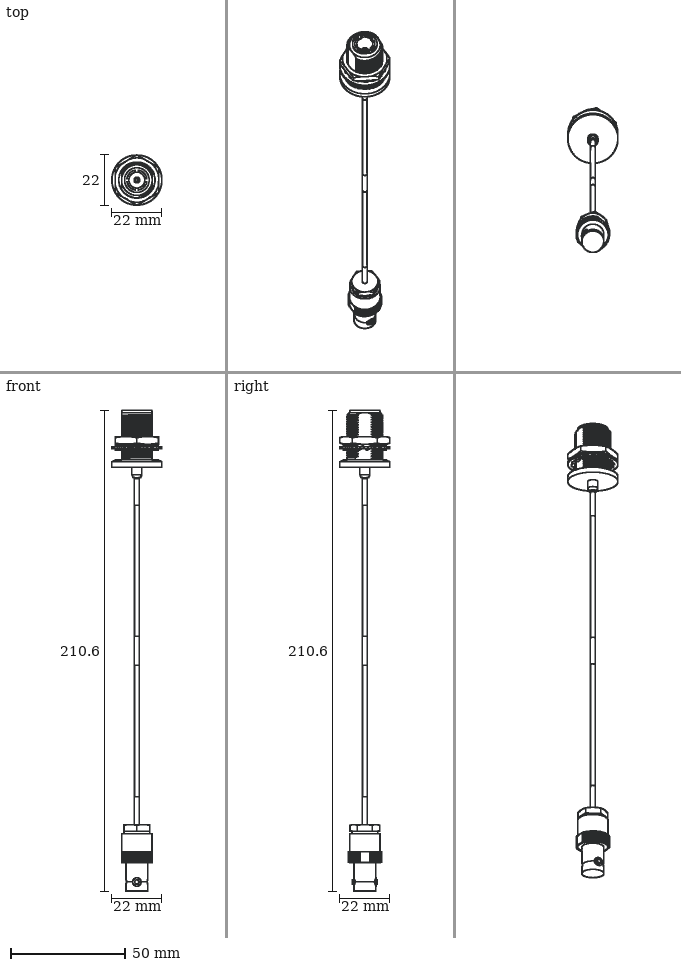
import cadquery as cq
import math


BARREL_RADIUS = 4.85
BARREL_LENGTH = 12.4
GROOVE_CENTER = 4.1
GROOVE_HALF_WIDTH = 1.25
GROOVE_DEPTH = 0.3
LUG_RADIUS = 0.95
LUG_TIP_RADIUS = 5.45
LUG_CENTER = 4.0
LUG_PAD_RADIUS = 1.85
LUG_PAD_TIP_RADIUS = BARREL_RADIUS + 0.05
SHELL_RADIUS = 6.7
SHELL_LENGTH = 12.8
KNURL_BOTTOM = BARREL_LENGTH + 0.3
KNURL_TOP = 17.2
KNURL_RADIUS = 7.35
KNURL_DEPTH = 0.4
KNURL_TEETH = 72
NECK_RADIUS = 5.7
NECK_LENGTH = 1.1
HEX_WIDTH = 11.4
HEX_HEIGHT = 2.8
HEX_CHAMFER = 0.35
SHELL_TOP = BARREL_LENGTH + SHELL_LENGTH
HEX_BOTTOM = SHELL_TOP + NECK_LENGTH
HEX_TOP = HEX_BOTTOM + HEX_HEIGHT

TOTAL_LENGTH = 210.57
FLANGE_RADIUS = 11.0
FLANGE_BOTTOM = 185.5
FLANGE_RIM_HEIGHT = 2.4
FLANGE_CROWN_RADIUS = 9.1
FLANGE_CROWN_HEIGHT = 0.9
SEAL_GROOVE_RADIUS = 8.4
SEAL_GROOVE_DEPTH = 0.6
THREAD_RADIUS = 7.9
THREAD_PITCH = 25.4 / 24
THREAD_DEPTH = 0.6
THREAD_GROOVE_WIDTH = 0.9 * THREAD_PITCH
THREAD_GROOVE_OVERCUT = 0.5
LIP_RADIUS = 6.7
LIP_LENGTH = 1.1
LIP_FILLET = 0.7
THREAD_FLAT_WIDTH = 2 * LIP_RADIUS
GAP_OUTER_RADIUS = 5.4
GAP_INNER_RADIUS = 4.4
GAP_DEPTH = 0.6
BORE_RADIUS = 3.5
BORE_DEPTH = 9.0
FINGER_SLOT_WIDTH = 1.3
CONTACT_RADIUS = 1.25
CONTACT_HOLE_RADIUS = 0.6
CONTACT_HOLE_DEPTH = 3.0
CONTACT_RECESS = 5.0
CONTACT_SEAT = 3.0
FLANGE_TOP = FLANGE_BOTTOM + FLANGE_RIM_HEIGHT + FLANGE_CROWN_HEIGHT
THREAD_TOP = TOTAL_LENGTH - LIP_LENGTH
BORE_FLOOR = TOTAL_LENGTH - BORE_DEPTH

NUT_WIDTH = 19.05
NUT_BOTTOM = 195.7
NUT_HEIGHT = 3.2
NUT_CHAMFER_HEIGHT = 0.45
NUT_CHAMFER_DEPTH = 1.3
WASHER_BOTTOM = 193.55
WASHER_THICKNESS = 0.85
WASHER_RING_INNER_RADIUS = 9.0
WASHER_TEETH = 16
TOOTH_WIDTH = 2.4
TOOTH_TWIST = 28

CABLE_RADIUS = 1.05
SLEEVE_RADIUS = 1.15
SLEEVE_SPANS = [(HEX_TOP, 41.3), (98.8, 111.5), (169.0, 180.4)]
FERRULE_RADIUS = 2.25
FERRULE_TIP_RADIUS = 1.65
FERRULE_TIP = 181.0
FERRULE_CONE_LENGTH = 1.3


def turned(points):
    """Solid turned about Z from (radius, z) points."""
    profile = [(-radius, z) for radius, z in points]
    return cq.Workplane("YZ").polyline(profile).close().revolve(360, (0, 0), (0, 1))


def cylinder(radius, bottom, top):
    return turned([(0, bottom), (radius, bottom), (radius, top), (0, top)])


def ring(outer, inner, bottom, top):
    return turned([(inner, bottom), (outer, bottom), (outer, top), (inner, top)])


def hexagon(width, bottom, top):
    """Hexagonal prism with flats on +X and -X."""
    corner_diameter = width / math.cos(math.pi / 6)
    prism = cq.Workplane("XY").workplane(offset=bottom).polygon(6, corner_diameter).extrude(top - bottom)
    return prism.rotate((0, 0, 0), (0, 0, 1), 30)


def flats(width, bottom, top):
    """Slab that leaves flats on the X sides of what it intersects."""
    length = 4 * FLANGE_RADIUS
    return cq.Workplane("XY").workplane(offset=bottom).rect(width, length).extrude(top - bottom)


def knurled_band():
    tooth_step = 360 / KNURL_TEETH
    root_radius = KNURL_RADIUS - KNURL_DEPTH
    points = []
    for tooth in range(KNURL_TEETH):
        crest_angle = math.radians(tooth * tooth_step)
        root_angle = math.radians((tooth + 0.5) * tooth_step)
        points.append((KNURL_RADIUS * math.cos(crest_angle), KNURL_RADIUS * math.sin(crest_angle)))
        points.append((root_radius * math.cos(root_angle), root_radius * math.sin(root_angle)))
    band = cq.Workplane("XY").workplane(offset=KNURL_BOTTOM).polyline(points).close()
    band = band.extrude(KNURL_TOP - KNURL_BOTTOM)
    return band.intersect(flats(2 * SHELL_RADIUS, KNURL_BOTTOM, KNURL_TOP))


def lug_post(radius, tip_radius):
    """Round post across the barrel, pointing to both +Y and -Y."""
    return cq.Workplane("XZ").center(0, LUG_CENTER).circle(radius).extrude(tip_radius, both=True)


def bayonet_jack():
    body = turned([
        (0, 0),
        (BARREL_RADIUS, 0),
        (BARREL_RADIUS, GROOVE_CENTER - GROOVE_HALF_WIDTH),
        (BARREL_RADIUS - GROOVE_DEPTH, GROOVE_CENTER),
        (BARREL_RADIUS, GROOVE_CENTER + GROOVE_HALF_WIDTH),
        (BARREL_RADIUS, BARREL_LENGTH),
        (SHELL_RADIUS, BARREL_LENGTH),
        (SHELL_RADIUS, SHELL_TOP),
        (NECK_RADIUS, SHELL_TOP),
        (NECK_RADIUS, HEX_BOTTOM),
        (0, HEX_BOTTOM),
    ])
    body = body.rotate((0, 0, 0), (0, 0, 1), 90)
    corner_radius = HEX_WIDTH / 2 / math.cos(math.pi / 6)
    hex_blank = turned([
        (0, HEX_BOTTOM),
        (corner_radius, HEX_BOTTOM),
        (corner_radius, HEX_TOP - HEX_CHAMFER),
        (HEX_WIDTH / 2, HEX_TOP),
        (0, HEX_TOP),
    ])
    hex_grip = hexagon(HEX_WIDTH, HEX_BOTTOM, HEX_TOP).intersect(hex_blank)
    lug_pads = lug_post(LUG_PAD_RADIUS, LUG_PAD_TIP_RADIUS)
    lugs = lug_post(LUG_RADIUS, LUG_TIP_RADIUS)
    return body.union(knurled_band()).union(hex_grip).union(lug_pads).union(lugs)


def thread_groove():
    """Helical V groove from the flange to above the thread top."""
    start = FLANGE_TOP + THREAD_PITCH / 2
    height = THREAD_TOP + THREAD_PITCH - start
    path = cq.Wire.makeHelix(THREAD_PITCH, height, THREAD_RADIUS).translate(cq.Vector(0, 0, start))
    half_width = THREAD_GROOVE_WIDTH / 2
    section = cq.Workplane("XZ").polyline([
        (THREAD_RADIUS - THREAD_DEPTH, start),
        (THREAD_RADIUS, start - half_width),
        (THREAD_RADIUS + THREAD_GROOVE_OVERCUT, start - half_width),
        (THREAD_RADIUS + THREAD_GROOVE_OVERCUT, start + half_width),
        (THREAD_RADIUS, start + half_width),
    ]).close()
    return section.sweep(cq.Workplane(path), isFrenet=True)


def bulkhead_jack():
    outer = turned([
        (0, FLANGE_BOTTOM),
        (FLANGE_RADIUS, FLANGE_BOTTOM),
        (FLANGE_RADIUS, FLANGE_BOTTOM + FLANGE_RIM_HEIGHT),
        (FLANGE_CROWN_RADIUS, FLANGE_TOP),
        (0, FLANGE_TOP),
    ])
    stem = turned([
        (0, FLANGE_TOP),
        (THREAD_RADIUS, FLANGE_TOP),
        (THREAD_RADIUS, THREAD_TOP - (THREAD_RADIUS - LIP_RADIUS)),
        (LIP_RADIUS, THREAD_TOP),
        (0, THREAD_TOP),
    ])
    stem = stem.intersect(flats(THREAD_FLAT_WIDTH, FLANGE_TOP, THREAD_TOP))
    stem = stem.cut(thread_groove())
    lip = turned([
        (0, THREAD_TOP),
        (LIP_RADIUS, THREAD_TOP),
        (LIP_RADIUS, TOTAL_LENGTH),
        (0, TOTAL_LENGTH),
    ])
    lip = lip.faces(">Z").edges().fillet(LIP_FILLET)
    body = outer.union(stem).union(lip)
    gap_floor = TOTAL_LENGTH - GAP_DEPTH
    seal_groove_floor = FLANGE_TOP - SEAL_GROOVE_DEPTH
    body = body.cut(ring(FLANGE_CROWN_RADIUS, SEAL_GROOVE_RADIUS, seal_groove_floor, FLANGE_TOP))
    body = body.cut(ring(GAP_OUTER_RADIUS, GAP_INNER_RADIUS, gap_floor, TOTAL_LENGTH))
    body = body.cut(cylinder(BORE_RADIUS, BORE_FLOOR, TOTAL_LENGTH))
    slot = cq.Workplane("XY").workplane(offset=gap_floor)
    slot = slot.rect(2 * GAP_INNER_RADIUS, FINGER_SLOT_WIDTH).extrude(GAP_DEPTH)
    for turn in (0, 90):
        body = body.cut(slot.rotate((0, 0, 0), (0, 0, 1), turn))
    return body.cut(cylinder(CONTACT_RADIUS, BORE_FLOOR - CONTACT_SEAT, BORE_FLOOR))


def center_contact():
    tip = TOTAL_LENGTH - CONTACT_RECESS
    pin = cylinder(CONTACT_RADIUS, BORE_FLOOR - CONTACT_SEAT, tip)
    return pin.cut(cylinder(CONTACT_HOLE_RADIUS, tip - CONTACT_HOLE_DEPTH, tip))


def panel_nut():
    top = NUT_BOTTOM + NUT_HEIGHT
    corner_radius = NUT_WIDTH / 2 / math.cos(math.pi / 6)
    face_radius = corner_radius - NUT_CHAMFER_DEPTH
    blank = turned([
        (THREAD_RADIUS, NUT_BOTTOM),
        (face_radius, NUT_BOTTOM),
        (corner_radius, NUT_BOTTOM + NUT_CHAMFER_HEIGHT),
        (corner_radius, top - NUT_CHAMFER_HEIGHT),
        (face_radius, top),
        (THREAD_RADIUS, top),
    ])
    return hexagon(NUT_WIDTH, NUT_BOTTOM, top).intersect(blank)


def lock_washer():
    """Flat ring with inward teeth, each twisted about its own radial axis."""
    top = WASHER_BOTTOM + WASHER_THICKNESS
    middle = (WASHER_BOTTOM + top) / 2
    washer = ring(FLANGE_RADIUS, WASHER_RING_INNER_RADIUS, WASHER_BOTTOM, top)
    tooth_outer_radius = WASHER_RING_INNER_RADIUS + 0.5
    tooth_length = tooth_outer_radius - THREAD_RADIUS
    envelope = ring(tooth_outer_radius, THREAD_RADIUS, WASHER_BOTTOM - TOOTH_WIDTH, top + TOOTH_WIDTH)
    for index in range(WASHER_TEETH):
        tooth = cq.Workplane("XY").box(2 * tooth_length, TOOTH_WIDTH, WASHER_THICKNESS)
        tooth = tooth.rotate((0, 0, 0), (1, 0, 0), TOOTH_TWIST)
        tooth = tooth.translate((tooth_outer_radius - tooth_length, 0, middle))
        tooth = tooth.rotate((0, 0, 0), (0, 0, 1), (index + 0.5) * 360 / WASHER_TEETH)
        washer = washer.union(tooth.intersect(envelope))
    return washer


def ferrule():
    return turned([
        (CABLE_RADIUS, FERRULE_TIP),
        (FERRULE_TIP_RADIUS, FERRULE_TIP),
        (FERRULE_RADIUS, FERRULE_TIP + FERRULE_CONE_LENGTH),
        (FERRULE_RADIUS, FLANGE_BOTTOM),
        (CABLE_RADIUS, FLANGE_BOTTOM),
    ])


cable = cylinder(CABLE_RADIUS, HEX_TOP, FLANGE_BOTTOM)
sleeves = [ring(SLEEVE_RADIUS, CABLE_RADIUS, bottom, top) for bottom, top in SLEEVE_SPANS]

result = cq.Compound.makeCompound([
    bayonet_jack().val(),
    bulkhead_jack().val(),
    center_contact().val(),
    panel_nut().val(),
    lock_washer().val(),
    ferrule().val(),
    cable.val(),
    *[sleeve.val() for sleeve in sleeves],
])